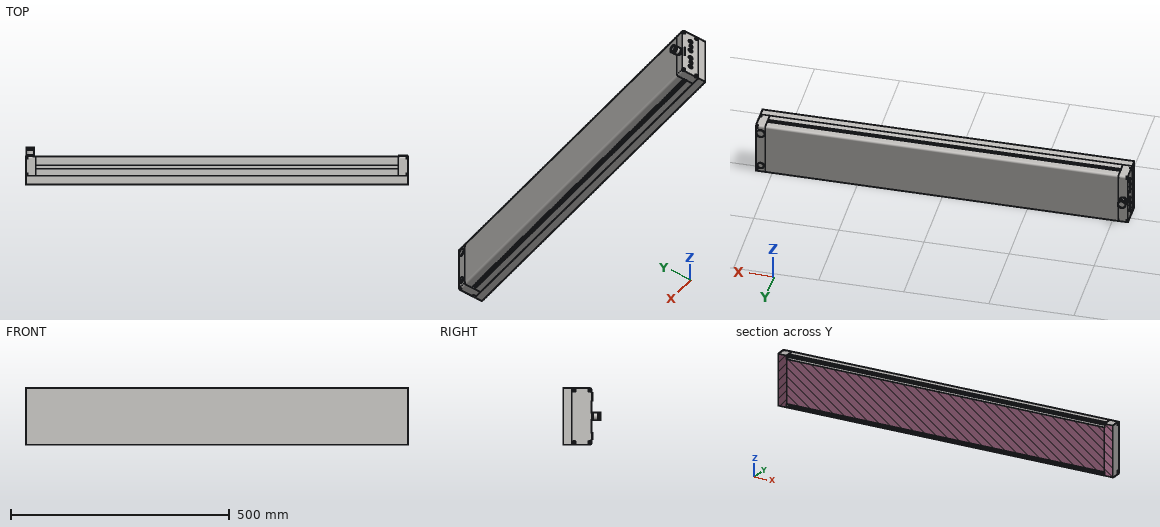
import cadquery as cq

LENGTH = 874.0
HEIGHT = 130.0
TOTAL_DEPTH = 86.2

COVER_DEPTH = 20.0
BODY_DEPTH = 65.0
CAP_WIDTH = 22.0
REAR_FILLET = 5.0

SLOT_MOUTH_WIDTH = 7.5
SLOT_LIP_DEPTH = 3.0
SLOT_CHANNEL_WIDTH = 12.0
SLOT_TOTAL_DEPTH = 9.0
SLOT_CENTER_Y = 40.5

RECESS_DEPTH = 5.0
LARGE_Y = 42.0
LARGE_DIAMETER = 11.0
LARGE_OFFSETS_Z = (11.8, 40.5)
SMALL_DIAMETER = 9.0
SMALL_OFFSET_Z = 26.0
SMALL_Y = 40.5
MARK_GROOVE_Y = 58.0
MARK_GROOVE_WIDTH = 1.0
MARK_GROOVE_DEPTH = 1.0
MARK_GROOVE_LENGTH = 24.0

SCREW_OFFSET_Z = 59.5
SCREW_ROWS_Y = (25.5, 60.5)
SCREW_HEAD_DIAMETER = 7.0
SCREW_HEAD_DEPTH = 4.0
SCREW_DIAMETER = 4.0

CONNECTOR_INSET = 9.5
CONNECTOR_DIAMETER = 18.5
NECK_DIAMETER = 14.5
NECK_LENGTH = 3.5
RING_COUNT = 3
RING_PITCH = 2.5
RING_GROOVE_WIDTH = 1.0
RING_GROOVE_DEPTH = 0.6

PLUG_HEIGHT = 2.5
PLUG_INSET = 11.5
PLUGS = ((19.0, 45.0), (15.0, -45.0))

CAP_CENTER_X = (LENGTH - CAP_WIDTH) / 2


def bar(x_center, length, y_start, y_end):
    """Full-height block between two depths."""
    block = cq.Workplane("XY").box(length, y_end - y_start, HEIGHT)
    return block.translate((x_center, (y_start + y_end) / 2, 0))


def rounded_bar(x_center, length):
    """Block behind the cover whose long rear edges are rounded."""
    return bar(x_center, length, COVER_DEPTH, BODY_DEPTH).edges("|X and >Y").fillet(REAR_FILLET)


def rod_x(diameter, x_start, length, y, z):
    """Cylinder along X."""
    return cq.Workplane("YZ", origin=(x_start, y, z)).circle(diameter / 2).extrude(length)


def rod_y(diameter, x, y_start, y_end, z):
    """Cylinder along Y."""
    rod = cq.Workplane("XZ", origin=(x, y_start, z)).circle(diameter / 2)
    return rod.extrude(y_start - y_end)


def make_cover():
    return bar(0, LENGTH, 0, COVER_DEPTH)


def make_profile():
    profile_length = LENGTH - 2 * CAP_WIDTH
    profile = rounded_bar(0, profile_length)
    for side in (-1, 1):
        surface_z = side * HEIGHT / 2
        mouth = cq.Workplane("XY").box(profile_length, SLOT_MOUTH_WIDTH, 2 * SLOT_LIP_DEPTH)
        profile = profile.cut(mouth.translate((0, SLOT_CENTER_Y, surface_z)))
        channel_height = SLOT_TOTAL_DEPTH - SLOT_LIP_DEPTH
        channel_z = surface_z - side * (SLOT_LIP_DEPTH + channel_height / 2)
        channel = cq.Workplane("XY").box(profile_length, SLOT_CHANNEL_WIDTH, channel_height)
        profile = profile.cut(channel.translate((0, SLOT_CENTER_Y, channel_z)))
    return profile


def make_cap(side):
    """End cap with four corner screw holes; side is -1 for left, 1 for right."""
    cap = rounded_bar(side * CAP_CENTER_X, CAP_WIDTH)
    outer_x = side * LENGTH / 2
    for y in SCREW_ROWS_Y:
        for z in (-SCREW_OFFSET_Z, SCREW_OFFSET_Z):
            cap = cap.cut(rod_x(SCREW_HEAD_DIAMETER, outer_x, -side * SCREW_HEAD_DEPTH, y, z))
            cap = cap.cut(rod_x(SCREW_DIAMETER, outer_x, -side * CAP_WIDTH, y, z))
    return cap


def make_connector():
    """Stepped round connector with ring grooves near its free end."""
    x = CONNECTOR_INSET - LENGTH / 2
    neck_end = BODY_DEPTH + NECK_LENGTH
    connector = rod_y(NECK_DIAMETER, x, BODY_DEPTH, neck_end, 0)
    connector = connector.union(rod_y(CONNECTOR_DIAMETER, x, neck_end, TOTAL_DEPTH, 0))
    root_diameter = CONNECTOR_DIAMETER - 2 * RING_GROOVE_DEPTH
    for index in range(RING_COUNT):
        gap_end = TOTAL_DEPTH - RING_GROOVE_WIDTH - index * RING_PITCH
        gap_start = gap_end - RING_GROOVE_WIDTH
        ring = rod_y(CONNECTOR_DIAMETER + RING_GROOVE_WIDTH, x, gap_start, gap_end, 0)
        connector = connector.cut(ring.cut(rod_y(root_diameter, x, gap_start, gap_end, 0)))
    return connector


def make_left_cap():
    outer_x = -LENGTH / 2
    cap = make_cap(-1)
    for side in (-1, 1):
        for z in LARGE_OFFSETS_Z:
            cap = cap.cut(rod_x(LARGE_DIAMETER, outer_x, RECESS_DEPTH, LARGE_Y, side * z))
        cap = cap.cut(rod_x(SMALL_DIAMETER, outer_x, RECESS_DEPTH, SMALL_Y, side * SMALL_OFFSET_Z))
    groove = cq.Workplane("XY").box(2 * MARK_GROOVE_DEPTH, MARK_GROOVE_WIDTH, MARK_GROOVE_LENGTH)
    cap = cap.cut(groove.translate((outer_x, MARK_GROOVE_Y, 0)))
    return cap.union(make_connector())


def make_right_cap():
    cap = make_cap(1)
    x = LENGTH / 2 - PLUG_INSET
    for diameter, z in PLUGS:
        cap = cap.union(rod_y(diameter, x, BODY_DEPTH, BODY_DEPTH + PLUG_HEIGHT, z))
    return cap


cover = make_cover()
profile = make_profile()
left_cap = make_left_cap()
right_cap = make_right_cap()

result = cq.Compound.makeCompound([cover.val(), profile.val(), left_cap.val(), right_cap.val()])